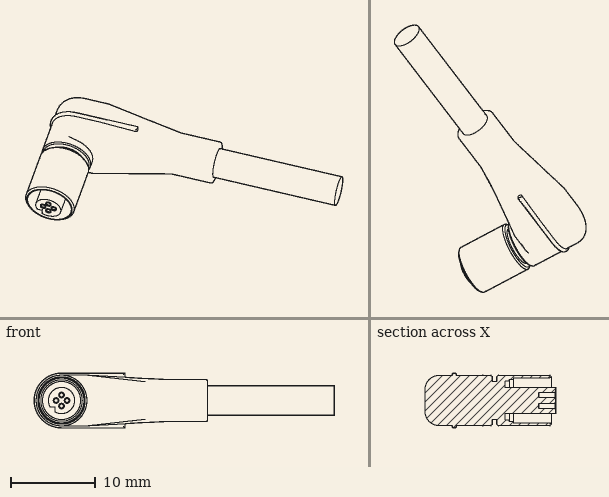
import cadquery as cq

OVERLAP = 0.5
FULL_TURN = 360

body_radius = 3.0
body_back = 3.5
body_front = -4.5
block_front = -3.5
block_length = 3.0
back_fillet = 1.75
block_front_fillet = 0.15
body_front_chamfer = 0.15

taper_end = 12.25
sleeve_radius = 2.5
sleeve_end = 17.25
sleeve_fillet = 0.2
cable_radius = 1.75
cable_end = 32.25

band_height = 0.25
band_width = 0.5
band_end = 7.5
band_fillet = 0.2

neck_radius = 2.3
nut_radius = 3.0
nut_back = -5.0
nut_front = -11.5
nut_chamfer = 0.2
mouth_radius = 2.65
flare_width = 0.05
flare_depth = 0.3
mouth_floor = -7.0
shoulder_radius = 2.45
shoulder_floor = -6.5
bore_radius = 2.25
bore_floor = -6.0

insert_radius = 1.55
insert_front = -12.0
key_offset = 0.75
contact_count = 4
contact_circle_radius = 0.65
contact_entry_radius = 0.33
contact_entry_depth = 0.1
contact_hole_radius = 0.24
contact_hole_depth = 2.0


def cylinder_along_y(radius, y_start, y_end):
    """Cylinder on the plug axis between two Y positions."""
    return (
        cq.Workplane("XZ", origin=(0, y_start, 0))
        .circle(radius)
        .extrude(y_start - y_end)
    )


def cylinder_along_x(radius, x_start, x_end):
    """Cylinder on the cable axis between two X positions."""
    return (
        cq.Workplane("YZ", origin=(x_start, 0, 0))
        .circle(radius)
        .extrude(x_end - x_start)
    )


def make_block():
    """Rectangular part of the elbow, rounded along its back edges."""
    depth = body_back - block_front
    return (
        cq.Workplane("XY")
        .box(block_length, depth, 2 * body_radius, centered=(False, False, True))
        .translate((0, block_front, 0))
        .edges("|X and >Y")
        .fillet(back_fillet)
        .edges("|X and <Y")
        .fillet(block_front_fillet)
    )


def make_elbow(block):
    """Domed round end joined to the rectangular block."""
    dome = cylinder_along_y(body_radius, body_back, 0).faces(">Y").edges().fillet(back_fillet)
    front = cylinder_along_y(body_radius, 0, body_front).faces("<Y").chamfer(body_front_chamfer)
    return dome.union(front).union(block)


def make_taper(block):
    """Transition from the block outline to the round sleeve."""
    block_outline = block.faces(">X").wires().val()
    sleeve_outline = cylinder_along_x(sleeve_radius, taper_end, sleeve_end).faces("<X").wires().val()
    return cq.Workplane(cq.Solid.makeLoft([block_outline, sleeve_outline], True))


def make_sleeve_and_cable():
    """Round strain relief sleeve with the cable leaving it."""
    sleeve = cylinder_along_x(sleeve_radius, taper_end, sleeve_end).faces(">X").edges().fillet(sleeve_fillet)
    cable = cylinder_along_x(cable_radius, sleeve_end - OVERLAP, cable_end)
    return sleeve.union(cable)


def make_band():
    """Raised band around the round end and along both flat sides."""
    band_radius = body_radius + band_height
    return (
        cq.Workplane("XZ", origin=(0, band_width / 2, 0))
        .moveTo(band_end, band_radius)
        .lineTo(0, band_radius)
        .threePointArc((-band_radius, 0), (0, -band_radius))
        .lineTo(band_end, -band_radius)
        .close()
        .extrude(band_width)
        .edges("not |Y")
        .fillet(band_fillet)
    )


def make_nut():
    """Coupling nut on its neck, with a stepped bore that flares at the mouth."""
    neck = cylinder_along_y(neck_radius, body_front + OVERLAP, nut_back - OVERLAP)
    nut = cylinder_along_y(nut_radius, nut_back, nut_front).faces("<Y or >Y").chamfer(nut_chamfer)
    bore = cylinder_along_y(bore_radius, bore_floor, nut_front)
    shoulder = cylinder_along_y(shoulder_radius, shoulder_floor, nut_front)
    mouth = cylinder_along_y(mouth_radius, mouth_floor, nut_front)
    flare = cq.Workplane(
        cq.Solid.makeCone(
            mouth_radius + flare_width,
            mouth_radius,
            flare_depth,
            pnt=cq.Vector(0, nut_front, 0),
            dir=cq.Vector(0, 1, 0),
        )
    )
    return neck.union(nut).cut(bore).cut(shoulder).cut(mouth).cut(flare)


def contact_cylinders(radius, depth):
    """One cylinder per contact, running from the insert face to the given depth."""
    return (
        cq.Workplane("XZ", origin=(0, insert_front + depth, 0))
        .polarArray(contact_circle_radius, 0, FULL_TURN, contact_count)
        .circle(radius)
        .extrude(depth)
    )


def make_insert():
    """Contact carrier with a corner keyway and four contact holes."""
    insert = cylinder_along_y(insert_radius, bore_floor + OVERLAP, insert_front)
    keyway = (
        cq.Workplane("XY")
        .box(insert_radius, bore_floor - insert_front, insert_radius, centered=False)
        .translate((-key_offset - insert_radius, insert_front, -key_offset - insert_radius))
    )
    contact_holes = contact_cylinders(contact_hole_radius, contact_hole_depth)
    entries = contact_cylinders(contact_entry_radius, contact_entry_depth)
    return insert.cut(keyway).cut(contact_holes).cut(entries)


block = make_block()
result = (
    make_elbow(block)
    .union(make_taper(block))
    .union(make_sleeve_and_cable())
    .union(make_band())
    .union(make_nut())
    .union(make_insert())
)